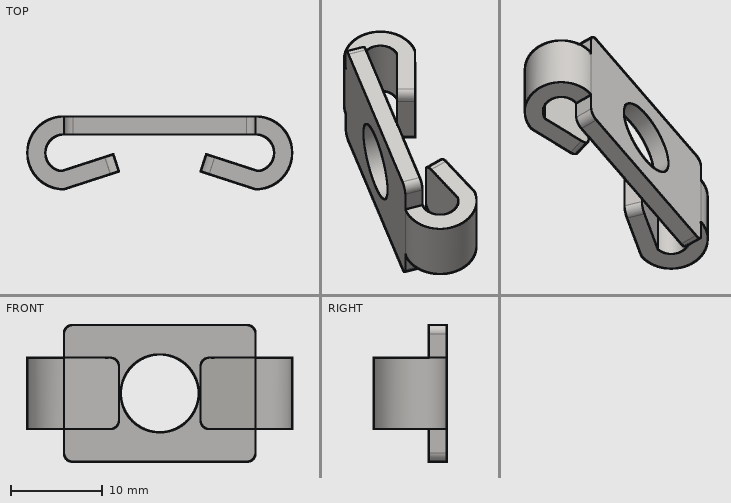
import cadquery as cq
import math

overall_length = 29.0
plate_height = 15.0
sheet = 2.0
bend_outer_radius = 4.0
bend_inner_radius = bend_outer_radius - sheet
hook_height = 7.8
hole_diameter = 8.5
corner_radius = 1.0
lip_length = 6.35
lip_angle = 18.0

bend_x = overall_length / 2 - bend_outer_radius
plate_length = 2 * bend_x

slope = math.radians(lip_angle)
lip_along = cq.Vector(-math.cos(slope), math.sin(slope), 0)
lip_inward = cq.Vector(math.sin(slope), math.cos(slope), 0)


def make_plate():
    """Flat plate with rounded corners and a central through hole."""
    plate = (
        cq.Workplane("XZ", origin=(0, bend_outer_radius, 0))
        .rect(plate_length, plate_height)
        .extrude(sheet)
        .edges("|Y")
        .fillet(corner_radius)
    )
    hole = (
        cq.Workplane("XZ", origin=(0, bend_outer_radius, 0))
        .circle(hole_diameter / 2)
        .extrude(sheet)
    )
    return plate.cut(hole)


def make_bend():
    """Half ring that turns the sheet through 180 degrees at the right-hand end."""
    return (
        cq.Workplane("XY", origin=(bend_x, 0, -hook_height / 2))
        .moveTo(0, bend_outer_radius)
        .threePointArc((bend_outer_radius, 0), (0, -bend_outer_radius))
        .lineTo(0, -bend_inner_radius)
        .threePointArc((bend_inner_radius, 0), (0, bend_inner_radius))
        .close()
        .extrude(hook_height)
    )


def make_lip():
    """Straight sloping lip that starts at the end of the bend, with a rounded tip."""
    outer_start = cq.Vector(bend_x, -bend_outer_radius, 0)
    lip_plane = cq.Plane(origin=outer_start, xDir=lip_along, normal=lip_inward)
    return (
        cq.Workplane(lip_plane)
        .rect(lip_length, hook_height)
        .extrude(sheet)
        .translate(lip_along * (lip_length / 2))
        .faces(cq.selectors.DirectionMinMaxSelector(lip_along))
        .edges(cq.selectors.ParallelDirSelector(lip_inward))
        .fillet(corner_radius)
    )


right_hook = make_bend().union(make_lip())
left_hook = right_hook.mirror("YZ")

result = make_plate().union(right_hook).union(left_hook)